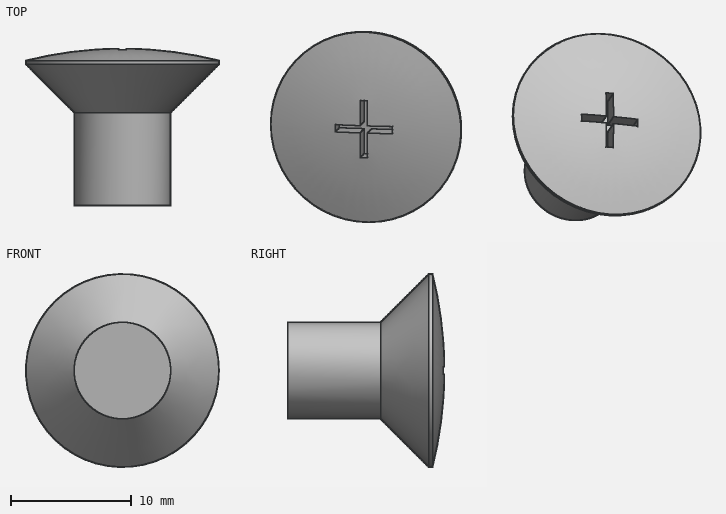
import cadquery as cq

head_diameter = 16.0
shank_diameter = 8.0
total_length = 13.0

rim_thickness = 0.3
dome_height = 1.0

recess_span = 4.8
recess_width = 0.6
recess_depth = 2.0
cut_clearance = 0.16

head_radius = head_diameter / 2
shank_radius = shank_diameter / 2
cone_length = head_radius - shank_radius
shank_length = total_length - cone_length - rim_thickness - dome_height

cone_start = shank_length
rim_start = cone_start + cone_length
rim_end = rim_start + rim_thickness

dome_radius = (head_radius**2 + dome_height**2) / (2 * dome_height)
dome_center = total_length - dome_radius
mid_radius = head_radius / 2
mid_height = dome_center + (dome_radius**2 - mid_radius**2) ** 0.5

profile = (
    cq.Workplane("XY")
    .moveTo(0, 0)
    .lineTo(shank_radius, 0)
    .lineTo(shank_radius, cone_start)
    .lineTo(head_radius, rim_start)
    .lineTo(head_radius, rim_end)
    .threePointArc((mid_radius, mid_height), (0, total_length))
    .close()
)
body = profile.revolve(360, (0, 0, 0), (0, 1, 0))


def recess_arm(size_x, size_z):
    """Cutter for one straight blind slot sunk from the dome apex."""
    recess_floor = total_length - recess_depth
    cutter_length = recess_depth + cut_clearance
    return (
        cq.Workplane("XY")
        .box(size_x, cutter_length, size_z, centered=(True, False, True))
        .translate((0, recess_floor, 0))
    )


cross_recess = recess_arm(recess_span, recess_width).union(recess_arm(recess_width, recess_span))
result = body.cut(cross_recess)